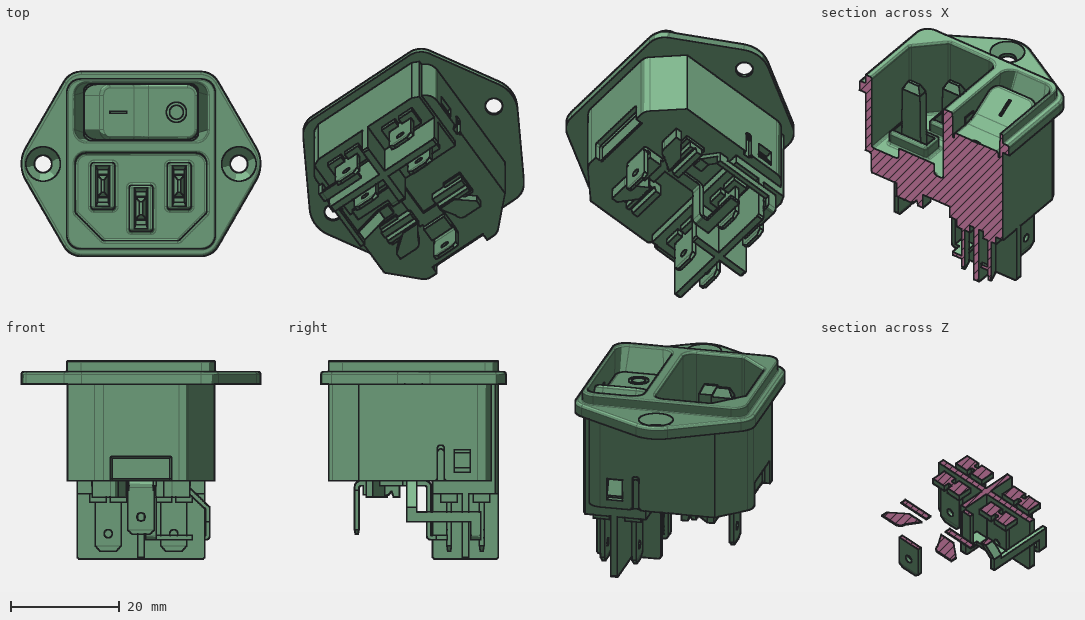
import cadquery as cq
import math


hair = 0.05
overlap = 0.45

total_height = 36.45
flange_length = 44.0
flange_width = 34.0
flange_thick = 2.3
flange_tip_radius = 6.0
flange_corner_radius = 3.75
flange_side_angle = 60.0
flange_edge_radius = 0.55
screw_x = 18.0
screw_radius = 1.6
screw_head_radius = 3.15
rim_half_x = 13.65
rim_half_y = 15.6
rim_top = 4.25
rim_corner_radius = 2.55
rim_edge_radius = 0.25
rim_base_radius = 0.15

body_half_x = 13.5
body_front = -rim_half_y
body_back = 14.45
body_bottom = -17.78
body_back_radius = 2.7
body_bevel = 5.6
body_bevel_radius = 2.35
switch_half_x = 11.75
switch_front = 3.48
switch_back = rim_half_y
switch_bottom = -20.15
switch_chamfer_x = 1.3
switch_chamfer_y = 0.6

inlet_half_x = 12.1
inlet_front = -14.12
inlet_back = 2.02
inlet_bevel = 5.2
inlet_corner_radius = 2.02
inlet_bevel_radius = 0.65
inlet_edge_radius = 0.45
inlet_floor = -11.9
line_pins = [(-7.0, -4.05), (7.0, -4.05)]
earth_pin = (0.0, -8.15)
pin_size = (1.9, 4.0)
pin_root_size = (1.9, 4.35)
pin_tip_size = (0.55, 2.38)
pin_tip_height = 1.65
line_pin_top = 0.1
earth_pin_top = 2.55
collar_size = (4.4, 8.55)
collar_height = 2.65
collar_radius = 0.55
collar_slot_top = (2.55, 7.52)
collar_slot_floor = (2.0, 6.0)

well_top_half_x = 12.28
well_top_y = (4.2, 14.9)
well_top_radius = 2.2
well_floor_half_x = 10.55
well_floor_y = (4.25, 14.75)
well_floor_radius = 1.55
well_floor = -1.3
well_edge_radius = 0.3
rocker_gap = 0.1
rocker_y = (4.5, 14.6)
rocker_flat_z = -0.15
rocker_peak = (-7.4, 3.95)
rocker_slope = 0.55
rocker_blend_half = 1.3
rocker_corner_radius = 1.95
rocker_edge_radius = 0.55
hub_half_x = 1.3
hub_top = 0.9
mark_y = 9.5
mark_depth = 0.1
ring_x = 6.5
ring_outer = 1.85
ring_inner = 1.28
bar_x = -4.15
bar_size = (3.5, 0.45)

window_y = (7.5, 10.45)
window_z = (-16.2, -12.05)
window_depth = 1.28
latch_top = -12.65
latch_bottom = -15.35
latch_setback = 0.1
slot_y = 5.0
slot_width = 1.28
slot_flare = 0.35
slot_levels = [(-11.2, 0.35), (-11.92, 0.7)]
notch_half_x = 5.65
notch_top = -13.25
notch_depth = 1.3
notch_radius = 0.4
notch_lip_depth = 0.15

sheet = 0.85
blade_tip_thick = 0.55
blade_hole_radius = 0.75
switch_blade_x = 6.05
switch_blade_rows = (6.55, 12.55)
switch_blade_width = 4.85
switch_blade_tip_width = 2.9
switch_blade_tip_height = 1.05
switch_blade_bottom = -30.75
switch_blade_hole_z = -27.5
pad_width = 3.0
pad_depth = 3.05
pad_gap = 0.8
pad_bottom = -21.75
ground_width = 4.95
ground_tip_width = 3.3
ground_tip_height = 0.8
ground_y = -10.45
ground_bottom = -27.6
ground_hole_z = -24.4
ground_neck_width = 4.5
ground_strip_back = -4.4
ground_holder_y = (-9.25, -6.6)
ground_holder_bottom = -20.35
strip_bottom = body_bottom - 0.92
plate_x = (5.3, 9.0)
plate_y = (-6.15, -1.95)
bend_outer = 1.15
bend_inner = 0.4

divider_bottom = rim_top - total_height
divider_thick = 1.25
divider_y = 9.55
divider_chamfer = 0.35
boss_bottom = -20.75
boss_outer_x = 8.98
boss_front = -8.7
boss_back = -4.85
boss_step_y = -7.5
boss_inner_x = 4.2
boss_corner_x = 5.65
boss_rib_x = (2.45, 5.7)
clip_y = (-5.3, -2.55)
clip_low_y = -3.7
clip_notch = (-4.05, -19.65)
clip_high = (-4.58, -20.4)

jumper_end_z = -28.65
side_jumper_x = 12.65
side_arm_bend = (7.6, -22.65)
side_arm_inner_bend = (7.25, -23.0)
side_jumper_y = (-1.28, 0.6)
side_jumper_z = (-25.35, -23.5)
rear_tab_y = (10.55, 12.3)
rear_tab_end_x = 4.4
leg_x = (0.85, 2.8)
leg_front = 2.4
leg_tab_front = 4.2
leg_tab_end = 6.15
leg_tab_x = 9.45


def block(x, y, z):
    """Box spanning the three (low, high) ranges."""
    return cq.Workplane("XY").box(
        x[1] - x[0], y[1] - y[0], z[1] - z[0], centered=False
    ).translate((x[0], y[0], z[0]))


def frustum(center, z, size, z_end, end_size):
    """Rectangular frustum from size at z to end_size at z_end."""
    return (
        cq.Workplane("XY", origin=(center[0], center[1], z)).rect(*size)
        .workplane(offset=z_end - z).rect(*end_size).loft(ruled=True)
    )


def both_sides(shape):
    """The shape together with its mirror image across X = 0."""
    return shape.union(shape.mirror("YZ"))


def make_flange():
    angle = math.radians(flange_side_angle)
    half_y = flange_width / 2
    tip = flange_length / 2 - flange_tip_radius + flange_tip_radius / math.sin(angle)
    shoulder = tip - half_y / math.tan(angle)
    outline = [
        (tip, 0), (shoulder, half_y), (-shoulder, half_y),
        (-tip, 0), (-shoulder, -half_y), (shoulder, -half_y),
    ]
    plate = cq.Workplane("XY").polyline(outline).close().extrude(flange_thick)
    plate = plate.edges("|Z and (>X or <X)").fillet(flange_tip_radius)
    for end in (">Y", "<Y"):
        plate = plate.faces(end).edges("|Z").fillet(flange_corner_radius)
    plate = plate.faces(">Z").edges().fillet(flange_edge_radius)
    return (
        plate.faces("<Z").workplane(origin=(0, 0, 0))
        .pushPoints([(-screw_x, 0), (screw_x, 0)]).hole(2 * screw_radius)
    )


def make_countersinks():
    depth = screw_head_radius - screw_radius
    cone = cq.Workplane(
        cq.Solid.makeCone(screw_radius, screw_head_radius, depth)
    ).translate((screw_x, 0, flange_thick - depth))
    return both_sides(cone)


def make_rim():
    rim = cq.Workplane("XY").rect(2 * rim_half_x, 2 * rim_half_y).extrude(rim_top)
    rim = rim.edges("|Z").fillet(rim_corner_radius)
    return rim.faces(">Z").edges().fillet(rim_edge_radius)


def bevelled_outline(half_x, front, back, bevel):
    """Rectangle whose two front corners are cut at 45 degrees."""
    return [
        (half_x, back), (-half_x, back), (-half_x, front + bevel),
        (-half_x + bevel, front), (half_x - bevel, front), (half_x, front + bevel),
    ]


def blend_rim(plate):
    """Small fillet where the rim rises from the flange."""
    margin = rim_base_radius / 2
    foot = cq.selectors.BoxSelector(
        (-rim_half_x - margin, -rim_half_y - margin, flange_thick - margin),
        (rim_half_x + margin, rim_half_y + margin, flange_thick + margin),
    )
    return plate.edges(foot).fillet(rim_base_radius)


def make_body():
    outline = bevelled_outline(body_half_x, body_front, body_back, body_bevel)
    body = cq.Workplane("XY").polyline(outline).close().extrude(body_bottom)
    body = body.faces(">Y").edges("|Z").fillet(body_back_radius)
    body = body.faces("<Y").edges("|Z").fillet(body_bevel_radius)
    back_half_x = switch_half_x - switch_chamfer_x
    chamfer_start = switch_back - switch_chamfer_y
    switch = cq.Workplane("XY").polyline([
        (-switch_half_x, switch_front), (switch_half_x, switch_front),
        (switch_half_x, chamfer_start), (back_half_x, switch_back),
        (-back_half_x, switch_back), (-switch_half_x, chamfer_start),
    ]).close().extrude(switch_bottom)
    return body.union(switch)


def make_inlet_cavity():
    outline = bevelled_outline(inlet_half_x, inlet_front, inlet_back, inlet_bevel)
    cavity = cq.Workplane("XY", origin=(0, 0, inlet_floor)).polyline(outline).close()
    cavity = cavity.extrude(rim_top - inlet_floor)
    cavity = cavity.faces(">Y").edges("|Z").fillet(inlet_corner_radius)
    for side in ("<Y", "<X", ">X"):
        front_edges = cq.selectors.BoxSelector(
            (-rim_half_x, body_front, inlet_floor),
            (rim_half_x, inlet_front + inlet_bevel + overlap, rim_top),
        )
        cavity = cavity.faces(side).edges("|Z").edges(front_edges).fillet(inlet_bevel_radius)
    return cavity.faces("<Z").edges().fillet(inlet_edge_radius)


def make_pin(place, pin_top):
    """Contact blade standing in a slotted collar that flares into the cavity floor."""
    collar_top = inlet_floor + collar_height
    pin_shoulder = pin_top - pin_tip_height
    wall = cq.Workplane("XY", origin=(*place, inlet_floor)).rect(*collar_size)
    wall = wall.extrude(collar_height).edges("|Z").fillet(collar_radius)
    wall = wall.faces(">Z").edges().fillet(collar_radius - hair)
    base_size = [side + 2 * collar_radius + 2 * hair for side in collar_size]
    base = cq.Workplane("XY", origin=(*place, inlet_floor)).rect(*base_size).extrude(-overlap)
    half_x, half_y = (side / 2 + hair for side in collar_size)
    collar = base.union(wall).edges(cq.selectors.BoxSelector(
        (place[0] - half_x, place[1] - half_y, inlet_floor - hair),
        (place[0] + half_x, place[1] + half_y, inlet_floor + hair),
    )).fillet(collar_radius)
    slot = frustum(place, inlet_floor, collar_slot_floor, collar_top, collar_slot_top)
    blade = frustum(place, inlet_floor, pin_root_size, pin_shoulder, pin_size)
    tip = frustum(place, pin_shoulder, pin_size, pin_top, pin_tip_size)
    return collar.cut(slot).union(blade).union(tip)


def rounded_rectangle(half_x, y, radius):
    outline = cq.Sketch().rect(2 * half_x, y[1] - y[0]).vertices().fillet(radius)
    return outline.moved(cq.Location(cq.Vector(0, (y[0] + y[1]) / 2, 0)))


def make_switch_well():
    """Recess for the rocker, narrowing toward its floor."""
    floor = rounded_rectangle(well_floor_half_x, well_floor_y, well_floor_radius)
    top = rounded_rectangle(well_top_half_x, well_top_y, well_top_radius)
    top = top.moved(cq.Location(cq.Vector(0, 0, rim_top - well_floor)))
    return cq.Workplane("XY", origin=(0, 0, well_floor)).placeSketch(floor, top).loft()


def make_rocker():
    """Rocker tilted up at its -X end, with a concave bend in the middle."""
    end_x = well_floor_half_x - rocker_gap
    peak_x, peak_z = rocker_peak
    blend_z = peak_z - rocker_slope * (-rocker_blend_half - peak_x)
    y_low, y_high = rocker_y
    rocker = (
        cq.Workplane("XZ", origin=(0, y_high, 0))
        .moveTo(-end_x, well_floor).lineTo(peak_x, peak_z)
        .lineTo(-rocker_blend_half, blend_z)
        .tangentArcPoint((rocker_blend_half, rocker_flat_z), relative=False)
        .lineTo(end_x, rocker_flat_z).lineTo(end_x, well_floor)
        .close().extrude(y_high - y_low)
    )
    rocker = rocker.edges("|Z and >X").fillet(rocker_corner_radius)
    raised_end = cq.selectors.BoxSelector(
        (-end_x, y_low - overlap, well_floor + overlap),
        (peak_x - overlap, y_high + overlap, peak_z - overlap),
    )
    rocker = rocker.edges(raised_end).fillet(rocker_corner_radius)
    top_rim = cq.selectors.BoxSelector(
        (peak_x - overlap, y_low - overlap, rocker_flat_z - overlap),
        (end_x, y_high + overlap, peak_z + overlap),
    )
    return rocker.edges("(<Y or >Y) and (not |Z)").edges(top_rim).fillet(rocker_edge_radius)


def make_hub():
    """Pivot block showing at both long sides of the rocker."""
    x = (-hub_half_x, hub_half_x)
    z = (well_floor, hub_top)
    front_end = block(x, (well_floor_y[0], rocker_y[0]), z)
    back_end = block(x, (rocker_y[1], well_floor_y[1]), z)
    return front_end.union(back_end)


def make_rocker_marks():
    """Engraved ring and bar on the rocker."""
    ring = (
        cq.Workplane("XY", origin=(ring_x, mark_y, rocker_flat_z - mark_depth))
        .circle(ring_outer).circle(ring_inner).extrude(2 * mark_depth)
    )
    peak_x, peak_z = rocker_peak
    bar_z = peak_z - rocker_slope * (bar_x - peak_x)
    bar = cq.Workplane("XY").box(*bar_size, 2 * mark_depth)
    bar = bar.rotate((0, 0, 0), (0, 1, 0), math.degrees(math.atan(rocker_slope)))
    return ring.union(bar.translate((bar_x, mark_y, bar_z)))


def round_openings(housing):
    """Round the top edges of the inlet cavity and of the switch well."""
    openings = [
        (inlet_half_x, (inlet_front, inlet_back), inlet_edge_radius),
        (well_top_half_x, well_top_y, well_edge_radius),
    ]
    for half_x, y, radius in openings:
        mouth = cq.selectors.BoxSelector(
            (-half_x - hair, y[0] - hair, rim_top - hair),
            (half_x + hair, y[1] + hair, rim_top + hair),
        )
        housing = housing.edges(mouth).fillet(radius)
    return housing


def make_latch_window():
    """Rectangular window with a latch ramp rising outward inside it."""
    inner_x = body_half_x - window_depth
    window = block((inner_x, body_half_x), window_y, window_z)
    ramp = (
        cq.Workplane("XZ", origin=(0, window_y[1], 0))
        .polyline([
            (inner_x, latch_top), (body_half_x - latch_setback, latch_bottom), (inner_x, latch_bottom),
        ])
        .close().extrude(window_y[1] - window_y[0])
    )
    return both_sides(window.cut(ramp))


def make_side_slots():
    """Vertical round-topped slots in both housing sides, flared at the lower end."""
    radius = slot_width / 2
    slots = cq.Workplane("XY")
    for top, depth in slot_levels:
        groove = block(
            (body_half_x - depth, body_half_x),
            (slot_y - radius, slot_y + radius),
            (body_bottom, top),
        )
        slots = slots.union(groove.faces(">Z").edges("|X").fillet(radius - hair))
    mouth = frustum(
        (body_half_x, slot_y), body_bottom, (2 * slot_levels[0][1], slot_width + 2 * slot_flare),
        body_bottom + slot_flare, (2 * slot_levels[0][1], slot_width),
    )
    return both_sides(slots.union(mouth))


def make_front_notch():
    """Shallow notch in the lower front edge of the housing."""
    notch = block(
        (-notch_half_x, notch_half_x),
        (body_front - overlap, body_front + notch_depth),
        (body_bottom - overlap, notch_top),
    )
    notch = notch.edges("|Y and >Z").fillet(notch_radius)
    notch = notch.faces(">Y").edges("not <Z").chamfer(notch_radius - hair)
    wall_y = body_front + notch_depth
    lip = (
        cq.Workplane("YZ", origin=(-notch_half_x, 0, 0))
        .polyline([
            (wall_y, body_bottom), (wall_y + notch_lip_depth, body_bottom),
            (wall_y, body_bottom + notch_radius),
        ])
        .close().extrude(2 * notch_half_x)
    )
    return notch.union(lip)


def make_blade(place, top, bottom, width, tip_width, tip_height, hole_z):
    """Flat tab terminal, tapered at its lower end and pierced by one hole."""
    shoulder = bottom + tip_height
    size = (width, sheet)
    blade = frustum(place, top, size, shoulder, size)
    tip = frustum(place, shoulder, size, bottom, (tip_width, blade_tip_thick))
    hole = cq.Workplane("XZ", origin=(place[0], place[1] + sheet, hole_z))
    return blade.union(tip).cut(hole.circle(blade_hole_radius).extrude(2 * sheet))


def make_switch_terminals():
    parts = cq.Workplane("XY")
    for y in switch_blade_rows:
        blade = make_blade(
            (switch_blade_x, y), switch_bottom, switch_blade_bottom,
            switch_blade_width, switch_blade_tip_width, switch_blade_tip_height,
            switch_blade_hole_z,
        )
        parts = parts.union(blade)
        for side in (-1, 1):
            pad_x = switch_blade_x + side * (pad_width + pad_gap) / 2
            parts = parts.union(block(
                (pad_x - pad_width / 2, pad_x + pad_width / 2),
                (y - pad_depth / 2, y + pad_depth / 2),
                (pad_bottom, switch_bottom),
            ))
    return both_sides(parts)


def bent_strip(x, back, face, bottom, direction):
    """Strip lying under the housing, bent down where its outer face reaches y = face."""
    inner = face - direction * sheet
    outline = [
        (back, body_bottom), (face, body_bottom), (face, bottom),
        (inner, bottom), (inner, strip_bottom), (back, strip_bottom),
    ]
    strip = cq.Workplane("YZ", origin=(x[0], 0, 0)).polyline(outline).close().extrude(x[1] - x[0])
    outer_edge = cq.selectors.NearestToPointSelector(((x[0] + x[1]) / 2, face, body_bottom))
    inner_edge = cq.selectors.NearestToPointSelector(((x[0] + x[1]) / 2, inner, strip_bottom))
    return strip.edges(outer_edge).fillet(bend_outer).edges(inner_edge).fillet(bend_inner)


def make_ground_terminal():
    neck_x = (-ground_neck_width / 2, ground_neck_width / 2)
    blade_top = strip_bottom - 2 * bend_inner
    strip = bent_strip(neck_x, ground_strip_back, ground_y - sheet / 2, blade_top, -1)
    blade = make_blade(
        (0, ground_y), blade_top, ground_bottom,
        ground_width, ground_tip_width, ground_tip_height, ground_hole_z,
    )
    holder = block(neck_x, ground_holder_y, (ground_holder_bottom, body_bottom))
    return strip.union(blade).union(holder)


def make_dividers():
    half = divider_thick / 2
    z = (divider_bottom, switch_bottom)
    across = block((-switch_half_x, switch_half_x), (divider_y - half, divider_y + half), z)
    across = across.faces("<Z").edges("|Y").chamfer(divider_chamfer)
    along = block((-half, half), (switch_front, switch_back), z)
    along = along.faces("<Z").edges("|X").chamfer(divider_chamfer)
    return across.union(along)


def make_bosses():
    """Contact holders under the inlet: an angled wall and a notched clip on each side."""
    corner_run = boss_corner_x - boss_inner_x
    corner_rise = boss_step_y - boss_front
    corner_mid = (
        boss_corner_x - corner_run * math.sqrt(0.5),
        boss_step_y - corner_rise * math.sqrt(0.5),
    )
    wall = (
        cq.Workplane("XY", origin=(0, 0, boss_bottom))
        .moveTo(boss_outer_x, boss_front).lineTo(boss_outer_x, boss_step_y)
        .lineTo(boss_rib_x[1], boss_back).lineTo(boss_rib_x[0], boss_back)
        .lineTo(boss_inner_x, boss_step_y)
        .threePointArc(corner_mid, (boss_corner_x, boss_front))
        .close().extrude(body_bottom - boss_bottom)
    )
    clip = (
        cq.Workplane("YZ", origin=(boss_rib_x[0], 0, 0))
        .polyline([
            (clip_y[1], body_bottom), (clip_y[1], boss_bottom), (clip_low_y, boss_bottom),
            clip_notch, clip_high, (clip_y[0], clip_high[1]), (clip_y[0], body_bottom),
        ])
        .close().extrude(boss_outer_x - boss_rib_x[0])
    )
    return both_sides(wall.union(clip))


def make_contact_plate():
    plate = block(plate_x, plate_y, (strip_bottom, body_bottom))
    return both_sides(plate)


def make_side_jumper():
    """Strip from the right inlet contact, around the housing side, to the rear blade."""
    x_out = side_jumper_x
    x_in = x_out - sheet
    y_low, y_high = side_jumper_y
    z_low, z_high = side_jumper_z
    arm = (
        cq.Workplane("XZ", origin=(0, y_high, 0))
        .polyline([
            (plate_x[0], body_bottom), (side_arm_bend[0], body_bottom),
            (x_out, side_arm_bend[1]), (x_out, z_low), (x_in, z_low),
            (x_in, side_arm_inner_bend[1]), (side_arm_inner_bend[0], strip_bottom),
            (plate_x[0], strip_bottom),
        ])
        .close().extrude(y_high - y_low)
    )
    rail = block((x_in, x_out), (y_low, rear_tab_y[1]), side_jumper_z)
    drop = block((x_in, x_out), rear_tab_y, (jumper_end_z, z_high))
    drop = drop.edges(">X and <Z").fillet(sheet - hair)
    tab = block((rear_tab_end_x, x_in), rear_tab_y, (jumper_end_z, jumper_end_z + sheet))
    return arm.union(rail).union(drop).union(tab)


def make_leg_jumper():
    """Strip bent down behind the inlet, ending in a tab at the front switch blade."""
    leg_back = leg_front + sheet
    tab_z = (jumper_end_z, jumper_end_z + sheet)
    leg = bent_strip(leg_x, plate_y[0], leg_back, jumper_end_z, 1)
    foot = block(leg_x, (leg_front, leg_tab_end), tab_z)
    tab = block((leg_x[0], leg_tab_x), (leg_tab_front, leg_tab_end), tab_z)
    strip = leg.union(foot)
    return strip.faces("<Z").edges("<Y").fillet(sheet - hair).union(tab)


housing = blend_rim(make_flange().union(make_rim())).cut(make_countersinks()).union(make_body())
housing = housing.cut(make_inlet_cavity()).cut(make_switch_well())
housing = round_openings(housing)
housing = housing.cut(make_latch_window()).cut(make_side_slots()).cut(make_front_notch())
for line_pin in line_pins:
    housing = housing.union(make_pin(line_pin, line_pin_top))
housing = housing.union(make_pin(earth_pin, earth_pin_top))
housing = housing.union(make_rocker()).union(make_hub()).cut(make_rocker_marks())

underside = [
    make_switch_terminals(), make_ground_terminal(), make_dividers(), make_bosses(),
    make_contact_plate(), make_side_jumper(), make_leg_jumper(),
]
result = housing
for piece in underside:
    result = result.union(piece)